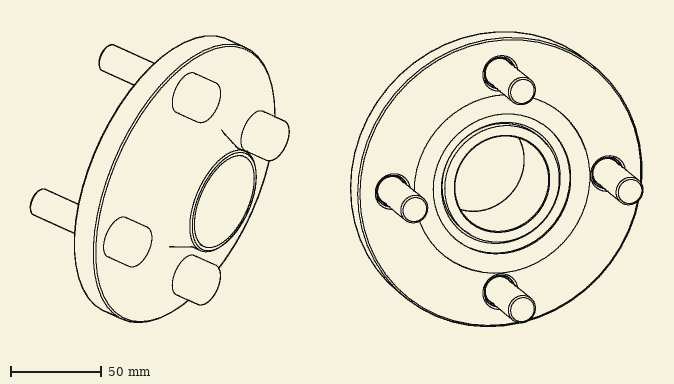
import cadquery as cq
import math


flange_radius = 82.5
flange_thickness = 15.0
flange_chamfer = 1.0

pilot_radius = 102.0 / 2
pilot_height = 3.0
pilot_fillet = 1.0

neck_radius = 60.2 / 2
neck_end = 42.0
neck_end_chamfer = 1.0
taper_angle = 20.0
taper_end = 34.2
taper_fillet = 5.0
taper_length = taper_end - flange_thickness
taper_base_radius = neck_radius + taper_length * math.tan(math.radians(taper_angle))

bore_radius = 54.5 / 2
bore_chamfer = 0.5

groove_inner_radius = 66.5 / 2
groove_outer_radius = 79.9 / 2
ring_section_radius = 2.6
ring_protrusion = 0.5
ring_center_radius = groove_outer_radius - ring_section_radius
ring_center_x = ring_section_radius - pilot_height - ring_protrusion
groove_floor = ring_center_x + ring_section_radius

stud_count = 4
stud_circle_radius = 124.9 / 2
shank_radius = 15.7 / 2
shank_end = -40.0
shank_chamfer = 1.0
shoulder_radius = 18.0 / 2
shoulder_chamfer = 0.8
shoulder_start = 3.0
head_radius = 24.0 / 2
head_end = 31.0
head_fillet = 1.3
hole_countersink = 1.2


def turn(profile):
    """Revolve a closed (x, radius) profile about the X axis."""
    return profile.close().revolve(360, (0, 0, 0), (1, 0, 0))


def fillet_circle(body, x, radius, fillet):
    """Round the circular edge of the given radius that lies at x."""
    def is_wanted(edge):
        return (
            edge.geomType() == "CIRCLE"
            and math.isclose(edge.radius(), radius, abs_tol=0.002)
            and math.isclose(edge.Center().x, x, abs_tol=0.002)
        )

    return body.newObject(body.edges().filter(is_wanted).vals()).fillet(fillet)


def on_stud_circle(body, index):
    """Move a body from the X axis to one of the equally spaced stud places."""
    angle = index * 360 / stud_count
    return body.translate((0, 0, stud_circle_radius)).rotate((0, 0, 0), (1, 0, 0), angle)


def make_stud_hole():
    """Cutter for one shoulder hole, countersunk on the stud side."""
    return turn(
        cq.Workplane("XY")
        .moveTo(0, 0)
        .lineTo(0, shoulder_radius + hole_countersink)
        .lineTo(hole_countersink, shoulder_radius)
        .lineTo(flange_thickness, shoulder_radius)
        .lineTo(flange_thickness, 0)
    )


def make_hub():
    hub = turn(
        cq.Workplane("XY")
        .moveTo(-pilot_height, bore_radius + bore_chamfer)
        .lineTo(-pilot_height, groove_inner_radius)
        .lineTo(groove_floor, groove_inner_radius)
        .lineTo(groove_floor, groove_outer_radius)
        .lineTo(-pilot_height, groove_outer_radius)
        .lineTo(-pilot_height, pilot_radius)
        .lineTo(0, pilot_radius)
        .lineTo(0, flange_radius - flange_chamfer)
        .lineTo(flange_chamfer, flange_radius)
        .lineTo(flange_thickness - flange_chamfer, flange_radius)
        .lineTo(flange_thickness, flange_radius - flange_chamfer)
        .lineTo(flange_thickness, taper_base_radius)
        .lineTo(taper_end, neck_radius)
        .lineTo(neck_end - neck_end_chamfer, neck_radius)
        .lineTo(neck_end, neck_radius - neck_end_chamfer)
        .lineTo(neck_end, bore_radius)
        .lineTo(-pilot_height + bore_chamfer, bore_radius)
    )
    hub = fillet_circle(hub, 0, pilot_radius, pilot_fillet)
    hub = fillet_circle(hub, flange_thickness, taper_base_radius, taper_fillet)
    hub = fillet_circle(hub, taper_end, neck_radius, taper_fillet)
    for index in range(stud_count):
        hub = hub.cut(on_stud_circle(make_stud_hole(), index))
    return hub


def make_o_ring():
    return (
        cq.Workplane("XY")
        .center(ring_center_x, ring_center_radius)
        .circle(ring_section_radius)
        .revolve(360, (0, -ring_center_radius, 0), (1, -ring_center_radius, 0))
    )


def make_stud():
    stud = turn(
        cq.Workplane("XY")
        .moveTo(shank_end, 0)
        .lineTo(shank_end, shank_radius - shank_chamfer)
        .lineTo(shank_end + shank_chamfer, shank_radius)
        .lineTo(shoulder_start, shank_radius)
        .lineTo(shoulder_start, shoulder_radius - shoulder_chamfer)
        .lineTo(shoulder_start + shoulder_chamfer, shoulder_radius)
        .lineTo(flange_thickness, shoulder_radius)
        .lineTo(flange_thickness, head_radius)
        .lineTo(head_end, head_radius)
        .lineTo(head_end, 0)
    )
    return fillet_circle(stud, head_end, head_radius, head_fillet)


hub = make_hub()
o_ring = make_o_ring()
studs = [on_stud_circle(make_stud(), index) for index in range(stud_count)]

result = cq.Compound.makeCompound([hub.val(), o_ring.val(), *[stud.val() for stud in studs]])